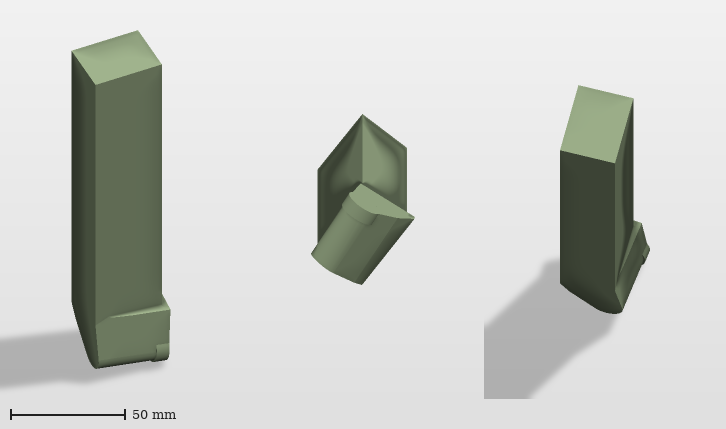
import cadquery as cq
import math

LENGTH = 171.3
SHANK_WIDTH = 24.8
SHANK_DEPTH = 32.0

RAKE_SLOPE = 0.1
HEAD_AXIS = cq.Vector(RAKE_SLOPE, 1, -RAKE_SLOPE)
HEAD_REACH = 37.5

NOSE_X = 21.0
NOSE_Z = 11.3
NOSE_RADIUS = 7.2
FLANK_ANGLE = 10.5
HEEL_ANGLE = 45.0
BEVEL_X = 4.3
BEVEL_SLOPE = 1.5
HEAD_TOP = 32.7
HEAD_CORNER_Z = HEAD_TOP - RAKE_SLOPE * HEAD_REACH
BLANK_SIZE = 51.4
OUTLINE_TOP = 42.8
NECK_RADIUS = 1.4

INSERT_DIAMETER = 16.0
INSERT_THICKNESS = 6.0


def rake_y(x, z):
    """Y of the rake face, which is square to the head axis."""
    return HEAD_REACH - RAKE_SLOPE * x + RAKE_SLOPE * (z - HEAD_CORNER_Z)


def nose_point(angle):
    """Point on the nose arc at an angle in degrees from +X."""
    turn = math.radians(angle)
    return (NOSE_X + NOSE_RADIUS * math.cos(turn), NOSE_Z + NOSE_RADIUS * math.sin(turn))


def nose_length():
    """Multiple of HEAD_AXIS from the nose centre to the rake face."""
    return rake_y(NOSE_X, NOSE_Z) / (1 + 2 * RAKE_SLOPE ** 2)


def head_outline():
    """Closed front outline as a wire in the XZ plane."""
    flank_end = nose_point(FLANK_ANGLE)
    heel_end = nose_point(-90 - HEEL_ANGLE)
    nose_middle = nose_point((FLANK_ANGLE - 90 - HEEL_ANGLE) / 2)
    flank_top_x = flank_end[0] - (OUTLINE_TOP - flank_end[1]) * math.tan(math.radians(FLANK_ANGLE))
    bevel_z = heel_end[1] + (heel_end[0] - BEVEL_X) * math.tan(math.radians(HEEL_ANGLE))
    bevel_top_x = BEVEL_X - (OUTLINE_TOP - bevel_z) / BEVEL_SLOPE
    return (
        cq.Workplane(cq.Plane((0, 0, 0), (1, 0, 0), (0, -1, 0)))
        .moveTo(bevel_top_x, OUTLINE_TOP)
        .lineTo(flank_top_x, OUTLINE_TOP)
        .lineTo(*flank_end)
        .threePointArc(nose_middle, heel_end)
        .lineTo(BEVEL_X, bevel_z)
        .close()
        .wire()
        .val()
    )


def make_shank():
    """Rectangular bar, ending inside the head."""
    height = LENGTH - HEAD_CORNER_Z
    return (
        cq.Workplane()
        .box(SHANK_WIDTH, SHANK_DEPTH, height, centered=False)
        .translate((0, 0, HEAD_CORNER_Z))
    )


def make_neck_blank():
    """Oversize block with a sloping top, blended into the back and side of the shank."""
    block = (
        cq.Workplane("YZ")
        .moveTo(0, 0)
        .lineTo(BLANK_SIZE, 0)
        .lineTo(BLANK_SIZE, HEAD_TOP - RAKE_SLOPE * BLANK_SIZE)
        .lineTo(0, HEAD_TOP)
        .close()
        .extrude(BLANK_SIZE)
    )
    neck_z = HEAD_TOP - RAKE_SLOPE * SHANK_DEPTH
    back_edge = cq.selectors.NearestToPointSelector((SHANK_WIDTH / 2, SHANK_DEPTH, neck_z))
    side_edge = cq.selectors.NearestToPointSelector(
        (SHANK_WIDTH, SHANK_DEPTH / 2, HEAD_TOP - RAKE_SLOPE * SHANK_DEPTH / 2)
    )
    neck_edges = cq.selectors.SumSelector(back_edge, side_edge)
    return block.union(make_shank()).edges(neck_edges).fillet(NECK_RADIUS)


def make_head():
    """Blank trimmed to the tilted outline and to the rake face."""
    prism = cq.Solid.extrudeLinear(head_outline(), [], HEAD_AXIS * BLANK_SIZE)
    rake_plane = cq.Plane((0, HEAD_REACH, HEAD_CORNER_Z), (1, -RAKE_SLOPE, 0), HEAD_AXIS)
    beyond_rake = cq.Workplane(rake_plane).rect(LENGTH, LENGTH).extrude(LENGTH)
    return make_neck_blank().intersect(cq.Workplane(prism)).cut(beyond_rake)


def make_insert():
    """Round insert, flush with the rake face and concentric with the nose."""
    centre = cq.Vector(NOSE_X, 0, NOSE_Z) + HEAD_AXIS * nose_length()
    face_plane = cq.Plane(centre, (1, -RAKE_SLOPE, 0), HEAD_AXIS * -1)
    return (
        cq.Workplane(face_plane)
        .circle(INSERT_DIAMETER / 2)
        .extrude(INSERT_THICKNESS)
    )


def make_holder(insert):
    """Shank and head in one piece, with a seat cut to fit the insert."""
    return make_shank().union(make_head()).cut(insert)


insert = make_insert()
holder = make_holder(insert)
result = cq.Compound.makeCompound([holder.val(), insert.val()])